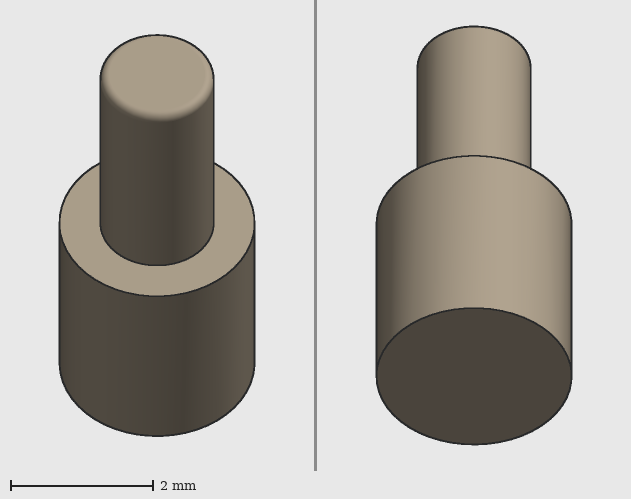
import cadquery as cq

total_height = 6.18
base_diameter = 2.75
base_height = 3.0
pin_diameter = 1.6
pin_tip_radius = 0.125

pin_height = total_height - base_height

base = cq.Workplane("XY").circle(base_diameter / 2).extrude(base_height)

pin = (
    cq.Workplane("XY")
    .workplane(offset=base_height)
    .circle(pin_diameter / 2)
    .extrude(pin_height)
    .faces(">Z")
    .edges()
    .fillet(pin_tip_radius)
)

result = base.union(pin)